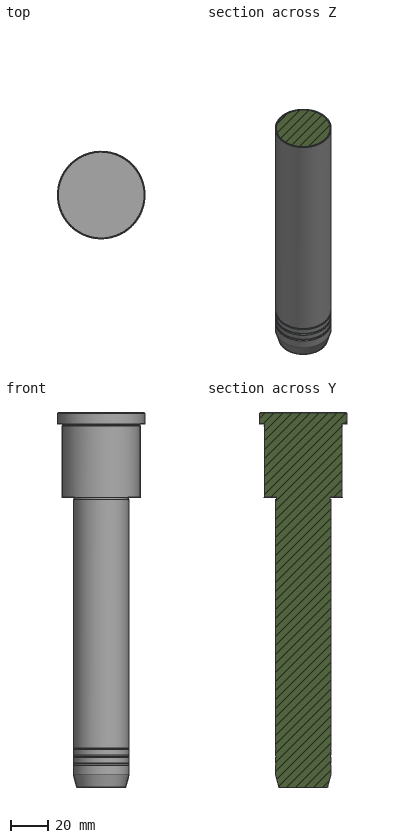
import cadquery as cq
import math

total_height = 201.0

collar_diameter = 47.0
collar_height = 6.0
collar_chamfer = 0.5

shank_diameter = 42.0
shank_bottom_z = 155.5

undercut_width = 1.2
undercut_depth = 0.3

pin_diameter = 30.0
neck_height = 1.2
neck_depth = 0.5

lead_in_height = 7.0
lead_in_angle = 15.0
tip_chamfer = 0.4

ring_groove_heights = [12.55, 16.75]
ring_groove_width = 1.3
ring_groove_depth = 0.3

marking_height = 20.7
marking_width = 0.8
marking_depth = 0.3


def cylinder(diameter, bottom_z, top_z):
    """Solid cylinder on the Z axis between two heights."""
    return cq.Workplane("XY").workplane(offset=bottom_z).circle(diameter / 2).extrude(top_z - bottom_z)


def spin(profile):
    """Revolve a closed profile of the XZ plane about the Z axis."""
    return profile.revolve(360, (0, 0), (0, 1))


def vee_ring(diameter, centre_z, width, depth):
    """Ring of triangular section that cuts a vee groove into a cylinder."""
    radius = diameter / 2
    vee = [
        (radius, centre_z - width / 2),
        (radius, centre_z + width / 2),
        (radius - depth, centre_z),
    ]
    return spin(cq.Workplane("XZ").polyline(vee).close())


def make_lead_in():
    """Taper from the pin diameter down to the chamfered tip."""
    pin_radius = pin_diameter / 2
    tip_radius = pin_radius - lead_in_height * math.tan(math.radians(lead_in_angle))
    taper = [(0, 0), (tip_radius, 0), (pin_radius, lead_in_height), (0, lead_in_height)]
    lead_in = spin(cq.Workplane("XZ").polyline(taper).close())
    return lead_in.faces("<Z").chamfer(tip_chamfer)


def make_pin():
    """Guide pin with its lead-in, grooves and the neck under the shank."""
    neck_bottom_z = shank_bottom_z - neck_height
    pin = make_lead_in().union(cylinder(pin_diameter, lead_in_height, neck_bottom_z))
    for groove_z in ring_groove_heights:
        pin = pin.cut(vee_ring(pin_diameter, groove_z, ring_groove_width, ring_groove_depth))
    pin = pin.cut(vee_ring(pin_diameter, marking_height, marking_width, marking_depth))
    neck = cylinder(pin_diameter - 2 * neck_depth, neck_bottom_z, shank_bottom_z)
    return pin.union(neck)


def make_head():
    """Shank and collar, with the undercut where they meet."""
    collar_bottom_z = total_height - collar_height
    undercut_z = collar_bottom_z - undercut_width / 2
    shank = cylinder(shank_diameter, shank_bottom_z, collar_bottom_z)
    shank = shank.cut(vee_ring(shank_diameter, undercut_z, undercut_width, undercut_depth))
    collar = cylinder(collar_diameter, collar_bottom_z, total_height)
    collar = collar.faces(">Z").chamfer(collar_chamfer)
    return shank.union(collar)


result = make_pin().union(make_head())